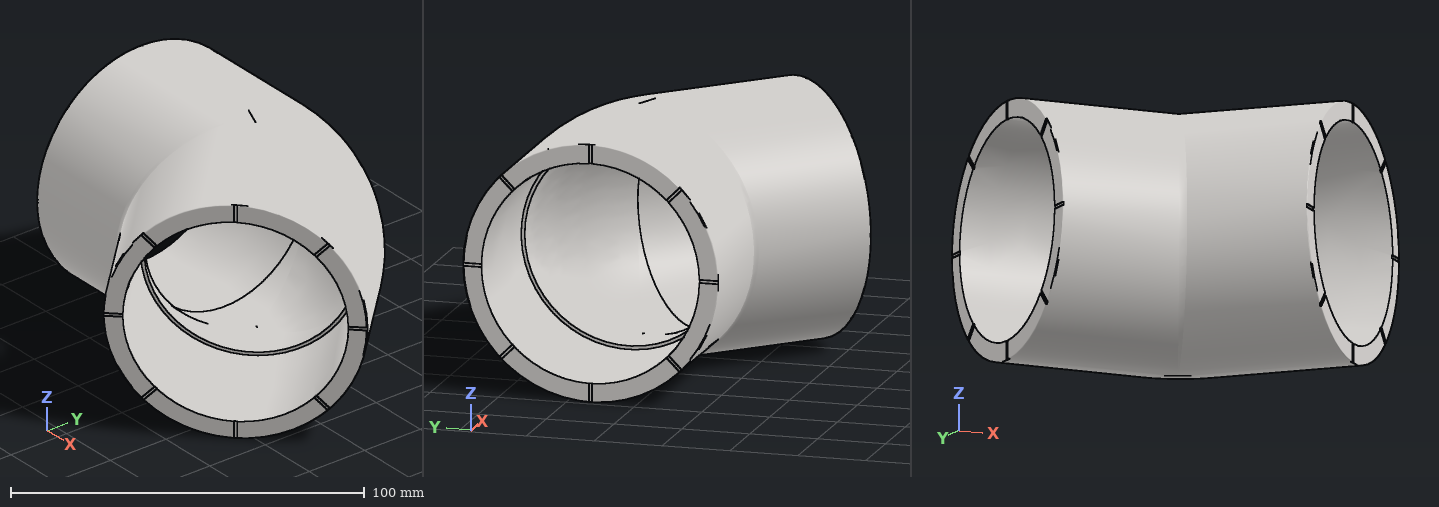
import cadquery as cq
import math

bend_angle = 45.0
outer_diameter = 75.2
leg_length = 53.03
socket_depth = 38.0
mouth_diameter = 64.2
socket_diameter = 63.0
bore_diameter = 60.9
outer_pivot_offset = 6.0
bore_pivot_offset = 0.5
crotch_radius = 3.0
rim_radius = 0.3
mark_count = 8
mark_width = 0.9
mark_depth = 0.25
section_count = 5

outer_radius = outer_diameter / 2
bore_radius = bore_diameter / 2
half_bend = math.radians(bend_angle / 2)
oversize = 2 * outer_diameter
full_turn = 360

crossing = cq.Vector(leg_length, 0, 0)
mitre_heading = math.pi / 2 - half_bend


def heading_vector(heading, length=1.0):
    """Vector of a given heading and length in the XY plane."""
    return cq.Vector(length * math.cos(heading), length * math.sin(heading), 0)


def to_second_leg(shape):
    """Mirror a first-leg shape across the mitre plane."""
    mitre_normal = heading_vector(mitre_heading - math.pi / 2)
    return shape.mirror(mitre_normal, basePointVector=crossing)


def plan_prism(corners):
    """Tall prism over a polygon in the XY plane, symmetric about that plane."""
    points = [(corner.x, corner.y) for corner in corners]
    return cq.Workplane("XY").polyline(points).close().extrude(oversize, both=True)


def mitred_rod(radius):
    """Two round legs that meet on the mitre plane and end on the end faces."""
    rod = cq.Workplane("YZ").circle(radius).extrude(oversize)
    first_side = plan_prism([
        crossing + heading_vector(mitre_heading, oversize),
        crossing - heading_vector(mitre_heading, oversize),
        cq.Vector(-oversize, -oversize),
        cq.Vector(-oversize, oversize),
    ])
    leg = rod.intersect(first_side)
    return leg.union(to_second_leg(leg))


def bend_section(pivot, crest_arc, heading, wall_distance, axis_share, half_height):
    """Elliptical slice of a bend, closed by a vertical chord on its inner wall.

    The crest of the bend is an arc tangent to both legs. At every other height the bend is
    the same arc scaled down about the pivot, to axis_share of its size at the top.
    """
    centre, arc_radius = crest_arc
    direction = heading_vector(heading)
    along = centre.dot(direction)
    crest = along + math.sqrt(along**2 - centre.dot(centre) + arc_radius**2)
    middle = crest * axis_share
    half_width = crest - middle
    wall_position = wall_distance / math.cos(heading - mitre_heading) - middle
    end_angle = math.degrees(math.acos(wall_position / half_width))
    plane = cq.Plane(pivot, direction, heading_vector(heading - math.pi / 2))
    return (
        cq.Workplane(plane)
        .center(middle, 0)
        .ellipseArc(half_width, half_height, -end_angle, end_angle, startAtCurrent=False)
        .close()
        .val()
    )


def elbow(radius, pivot_offset, inner_fillet=None):
    """Mitred rod, smoothly rounded outside its bend, with an optional inner fillet."""
    pivot = crossing - heading_vector(mitre_heading, pivot_offset)
    axis_rise = pivot_offset * math.cos(half_bend)
    crest_rise = axis_rise + radius
    seam_back = pivot.x - socket_depth
    tangent_length = seam_back + crest_rise * math.tan(half_bend)
    arc_radius = tangent_length / math.tan(half_bend)
    crest_arc = (cq.Vector(-seam_back, crest_rise - arc_radius), arc_radius)

    first_heading = math.atan2(crest_rise, -seam_back)
    last_heading = 2 * mitre_heading - first_heading
    wall_reach = axis_rise / math.sin(first_heading)
    wall_distance = wall_reach * math.cos(first_heading - mitre_heading)

    step = (last_heading - first_heading) / (section_count - 1)
    sections = [
        bend_section(
            pivot, crest_arc, first_heading + i * step, wall_distance, axis_rise / crest_rise, radius
        )
        for i in range(section_count)
    ]
    rounded_bend = cq.Workplane(cq.Solid.makeLoft(sections))

    bend_sector = plan_prism([
        pivot + heading_vector(first_heading, wall_reach),
        pivot + heading_vector(first_heading, oversize),
        pivot + heading_vector(mitre_heading, 2 * oversize),
        pivot + heading_vector(last_heading, oversize),
        pivot + heading_vector(last_heading, wall_reach),
    ])
    legs = mitred_rod(radius).cut(bend_sector)
    if inner_fillet:
        crotch = crossing - heading_vector(mitre_heading, radius / math.cos(half_bend))
        crotch_edge = cq.selectors.NearestToPointSelector(crotch.toTuple())
        legs = legs.edges(crotch_edge).fillet(inner_fillet)
    return legs.union(rounded_bend)


def socket():
    """Tapered pipe socket of the first leg."""
    cone = cq.Solid.makeCone(
        mouth_diameter / 2,
        socket_diameter / 2,
        socket_depth,
        pnt=cq.Vector(0, 0, 0),
        dir=cq.Vector(1, 0, 0),
    )
    return cq.Workplane(cone)


def end_marks():
    """Radial grooves across the end face of the first leg."""
    marks = cq.Workplane("XY")
    for i in range(mark_count):
        groove = cq.Workplane("XY").box(
            mark_depth, outer_diameter, mark_width, centered=(False, False, True)
        )
        marks = marks.union(groove.rotate((0, 0, 0), (1, 0, 0), i * full_turn / mark_count))
    return marks


def round_rims(body):
    """Round the outer edge of both end faces."""
    first_rim = cq.Vector(0, 0, 0)
    last_rim = crossing + heading_vector(2 * mitre_heading - math.pi, leg_length)
    for rim_centre in (first_rim, last_rim):
        rim = cq.selectors.NearestToPointSelector(rim_centre.toTuple())
        body = body.edges(rim).fillet(rim_radius)
    return body


outside = round_rims(elbow(outer_radius, outer_pivot_offset, crotch_radius))
bore = elbow(bore_radius, bore_pivot_offset)
first_end_cuts = socket().union(end_marks())
second_end_cuts = to_second_leg(first_end_cuts)

result = outside.cut(bore).cut(first_end_cuts).cut(second_end_cuts)